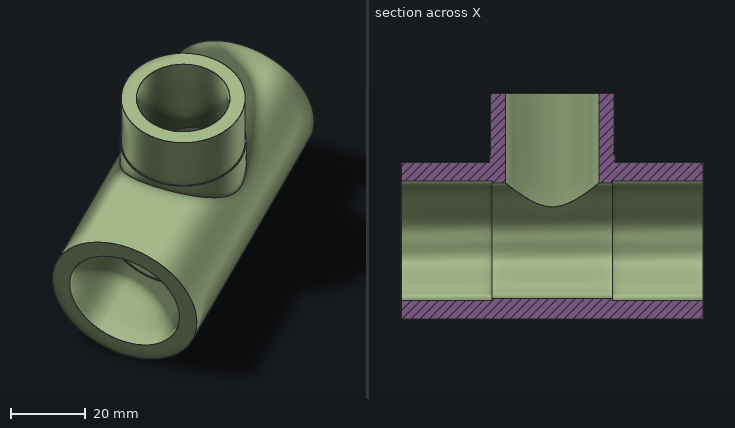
import cadquery as cq

run_length = 81.0
run_diameter = 42.0
run_bore = 30.95
socket_bore = 31.9
socket_depth = 24.3

overall_height = 60.5
spigot_diameter = 33.2
spigot_length = 16.5
collar_diameter = 33.85
branch_bore = 25.0

branch_top = overall_height - run_diameter / 2
collar_top = branch_top - spigot_length


def cylinder_along_y(diameter, start, length):
    """Cylinder on the Y axis, running from y = start towards +Y."""
    return cq.Workplane("XZ", origin=(0, start, 0)).circle(diameter / 2).extrude(-length)


def cylinder_up(diameter, height):
    """Vertical cylinder from the run axis up to the given height."""
    return cq.Workplane("XY").circle(diameter / 2).extrude(height)


body = cylinder_along_y(run_diameter, -run_length / 2, run_length)
body = body.union(cylinder_up(collar_diameter, collar_top))
body = body.union(cylinder_up(spigot_diameter, branch_top))

body = body.cut(cylinder_along_y(run_bore, -run_length / 2, run_length))
for socket_start in (-run_length / 2, run_length / 2 - socket_depth):
    body = body.cut(cylinder_along_y(socket_bore, socket_start, socket_depth))

result = body.cut(cylinder_up(branch_bore, branch_top))